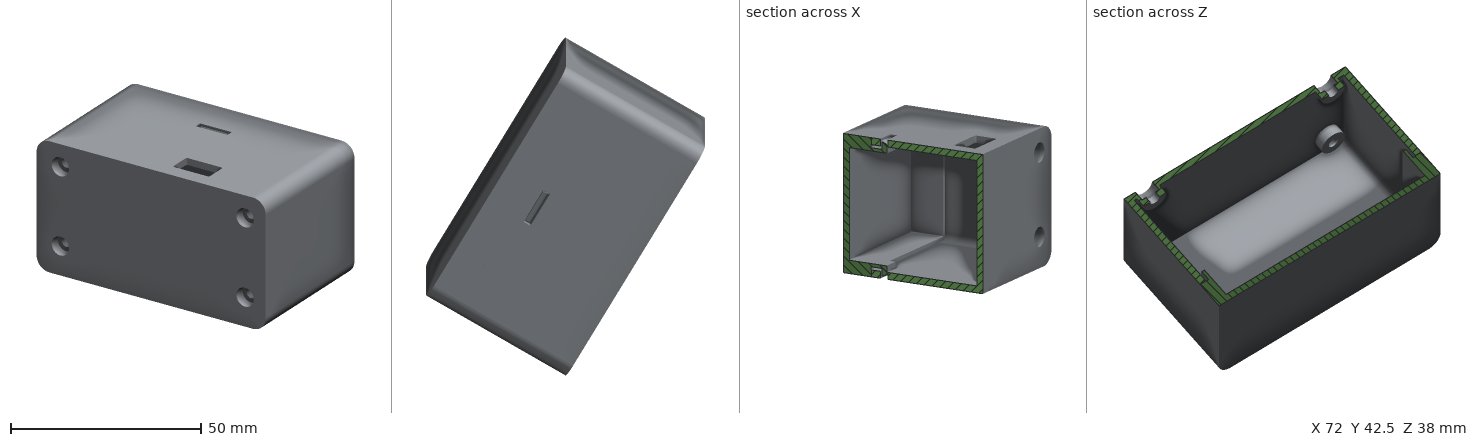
import cadquery as cq

width = 72
height = 38.0
housing_depth = 34.0
lid_depth = 8.5
corner_radius = 4.0
wall = 2.0

tongue_length = 3.2
tongue_thickness = 1.0
tongue_gap = 0.7
tongue_front = housing_depth - tongue_length
tongue_outset = wall + tongue_gap
tongue_inset = tongue_outset + tongue_thickness

slot_width = 10.0
slot_length = 2.1
slot_setback = 2.95
slot_back = housing_depth - slot_setback
hook_width = 9.0
hook_length = 1.7
hook_depth_below_surface = 0.6
hook_ramp_drop = 0.7
hook_nose_radius = 1.0

hole_centre_x = 0.5
hole_centre_z = 1.0
hole_pitch_x = 58.0
hole_pitch_z = 23.0
hole_diameter = 2.95
counterbore_diameter = 5.5
counterbore_depth = 3.0
standoff_wall = 1.0
standoff_diameter = counterbore_diameter + 2 * standoff_wall
standoff_end = counterbore_depth + wall

opening_width = 11.45
opening_length = 6.6
opening_x = 9.5
opening_y = 7.85
opening_radius = 0.6


def rounded_block(inset, y_start, y_end):
    """Block from y_start to y_end whose rounded outline lies `inset` inside the outer one."""
    block = cq.Workplane("XY").box(width - 2 * inset, y_end - y_start, height - 2 * inset)
    block = block.edges("|Y").fillet(corner_radius - inset)
    return block.translate((0, (y_start + y_end) / 2, 0))


def screw_cylinders(diameter, y_start, y_end):
    """Four cylinders along Y, one at each screw position."""
    return (
        cq.Workplane("XZ", origin=(hole_centre_x, y_start, hole_centre_z))
        .rarray(hole_pitch_x, hole_pitch_z, 2, 2)
        .circle(diameter / 2)
        .extrude(y_start - y_end)
    )


def make_snap_slots():
    """Cutter that passes through both the top and the bottom wall."""
    slots = cq.Workplane("XY").box(slot_width, slot_length, height)
    return slots.translate((0, slot_back - slot_length / 2, 0))


def make_connector_opening():
    """Cutter with rounded corners that passes through the top wall only."""
    opening = cq.Workplane("XY").box(opening_width, opening_length, 2 * wall)
    opening = opening.edges("|Z").fillet(opening_radius)
    return opening.translate((opening_x, opening_y, height / 2))


def make_housing():
    """Box open at the back, with standoffs, screw holes, slots and an opening."""
    body = rounded_block(0, 0, housing_depth)
    body = body.cut(rounded_block(wall, wall, housing_depth))
    body = body.union(screw_cylinders(standoff_diameter, wall, standoff_end))
    body = body.cut(screw_cylinders(hole_diameter, 0, standoff_end))
    body = body.cut(screw_cylinders(counterbore_diameter, 0, counterbore_depth))
    return body.cut(make_snap_slots()).cut(make_connector_opening())


def make_top_hook():
    """Hook in front of the tongue: its top slopes down to a rounded nose."""
    hook_top = height / 2 - hook_depth_below_surface
    hook_bottom = height / 2 - tongue_inset
    hook_front = tongue_front - hook_length
    profile = [
        (tongue_front, hook_bottom),
        (tongue_front, hook_top),
        (hook_front, hook_top - hook_ramp_drop),
        (hook_front, hook_bottom),
    ]
    hook = cq.Workplane("YZ").polyline(profile).close().extrude(hook_width / 2, both=True)
    return hook.faces("<Y").edges(">Z").fillet(hook_nose_radius)


def make_lid():
    """Hollow cover with a tongue ring and a snap hook at the top and bottom."""
    lid_back = housing_depth + lid_depth
    lid = rounded_block(0, housing_depth, lid_back)
    lid = lid.union(rounded_block(tongue_outset, tongue_front, housing_depth))
    lid = lid.cut(rounded_block(tongue_inset, tongue_front, lid_back - wall))
    hook = make_top_hook()
    return lid.union(hook).union(hook.mirror("XY"))


housing = make_housing()
lid = make_lid()
result = cq.Compound.makeCompound([housing.val(), lid.val()])